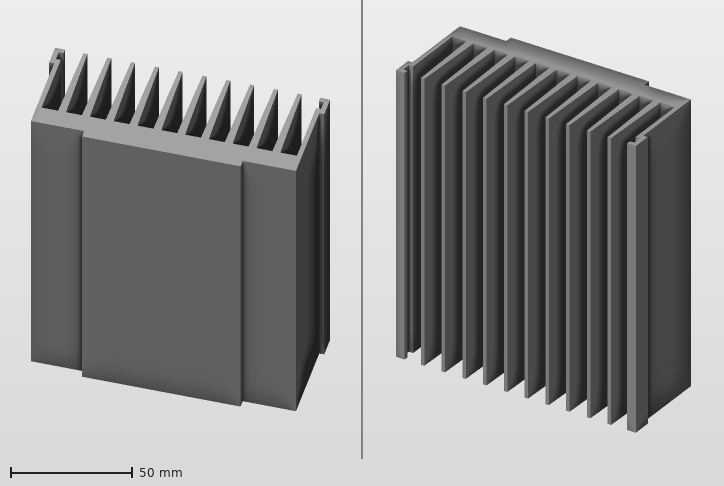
import cadquery as cq


overall_width = 117.43
overall_depth = 48.55
length = 135.49

pad_width = 67.7
pad_height = 3.38
channel_depth = 36.2
channel_floor_y = overall_depth - channel_depth

wall_thickness = 2.09
rail_step = 2.12
rail_height = 9.1
hook_thickness = 2.17
groove_height = 4.27
body_width = overall_width - 2 * rail_step

fin_count = 10
fin_pitch = 10.165
fin_tip_thickness = 1.7
fin_root_thickness = 3.38


def make_base():
    """Base plate with the narrower mounting pad on its flat face."""
    plate = cq.Workplane("XY").rect(body_width, channel_floor_y - pad_height).extrude(length)
    plate = plate.translate((0, (channel_floor_y + pad_height) / 2, 0))
    pad = cq.Workplane("XY").rect(pad_width, channel_floor_y).extrude(length)
    pad = pad.translate((0, channel_floor_y / 2, 0))
    return plate.union(pad)


def make_side_wall(side):
    """Side wall with its rail; side is -1 for the -X wall and +1 for the +X wall."""
    rail_outer_x = overall_width / 2
    wall_outer_x = body_width / 2
    wall_inner_x = wall_outer_x - wall_thickness
    rail_inner_x = rail_outer_x - rail_step
    rail_bottom_y = overall_depth - rail_height
    groove_top_y = overall_depth - hook_thickness
    groove_bottom_y = groove_top_y - groove_height
    outline = [
        (wall_outer_x, pad_height),
        (wall_outer_x, rail_bottom_y),
        (rail_outer_x, rail_bottom_y),
        (rail_outer_x, overall_depth),
        (wall_inner_x, overall_depth),
        (wall_inner_x, groove_top_y),
        (rail_inner_x, groove_top_y),
        (rail_inner_x, groove_bottom_y),
        (wall_inner_x, groove_bottom_y),
        (wall_inner_x, pad_height),
    ]
    points = [(side * x, y) for x, y in outline]
    return cq.Workplane("XY").polyline(points).close().extrude(length)


def make_fin(center_x):
    """Fin that tapers evenly on both faces from root to tip."""
    half_root = fin_root_thickness / 2
    half_tip = fin_tip_thickness / 2
    points = [
        (center_x - half_root, pad_height),
        (center_x + half_root, pad_height),
        (center_x + half_root, channel_floor_y),
        (center_x + half_tip, overall_depth),
        (center_x - half_tip, overall_depth),
        (center_x - half_root, channel_floor_y),
    ]
    return cq.Workplane("XY").polyline(points).close().extrude(length)


def make_heat_sink():
    """Base, both side walls and the row of fins joined into one solid."""
    body = make_base()
    for side in (-1, 1):
        body = body.union(make_side_wall(side))
    first_fin_x = -fin_pitch * (fin_count - 1) / 2
    for index in range(fin_count):
        body = body.union(make_fin(first_fin_x + index * fin_pitch))
    return body.clean()


result = make_heat_sink()